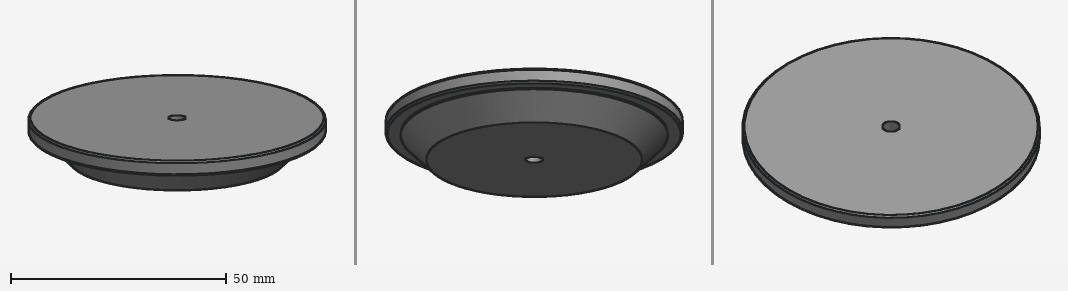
import cadquery as cq

disc_diameter = 69.0
total_height = 10.0
bore_diameter = 4.0

cone_top_diameter = 62.0
cone_height = 6.0
cone_bottom_diameter = cone_top_diameter - 2 * cone_height

collar_height = 0.35
disc_base_height = cone_height + collar_height

disc_thickness = total_height - disc_base_height
edge_chamfer = 0.5


def make_disc():
    """Flat disc with both rim edges chamfered, resting on the collar."""
    disc = cq.Workplane("XY").workplane(offset=disc_base_height)
    disc = disc.circle(disc_diameter / 2).extrude(disc_thickness)
    return disc.edges().chamfer(edge_chamfer)


def make_support():
    """Truncated cone widening from the base, topped by the straight collar."""
    profile = [
        (0, 0),
        (cone_bottom_diameter / 2, 0),
        (cone_top_diameter / 2, cone_height),
        (cone_top_diameter / 2, disc_base_height),
        (0, disc_base_height),
    ]
    return cq.Workplane("XZ").polyline(profile).close().revolve(360, (0, 0), (0, 1))


def make_bore():
    """Cutter for the central through hole."""
    return cq.Workplane("XY").circle(bore_diameter / 2).extrude(total_height)


result = make_disc().union(make_support()).cut(make_bore())